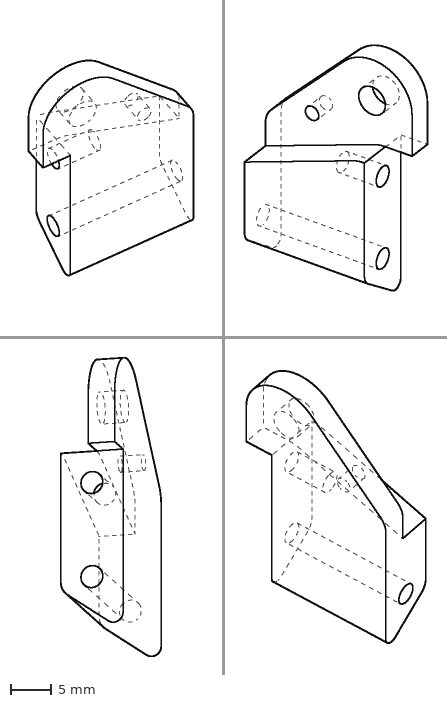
import cadquery as cq
import math

foot_width = 8.0
foot_top_z = 22.0
foot_front_y = 4.0
back_y = 22.0
underside_slope = math.radians(35)
tip_radius = 1.2
heel_radius = 2.0

shoulder_corner_y = 4.92
shoulder_slope = math.radians(20)
shoulder_radius = 5.0

lug_thickness = 3.4
lug_x = foot_width - lug_thickness
head_radius = 6.0
pivot_y = head_radius
pivot_z = 28.0
lug_top_z = pivot_z + head_radius
lug_slope = math.radians(45)
lug_back_radius = 3.0

lug_hole_depth = 3.0
pivot_hole_diameter = 4.0
pin_hole_diameter = 2.0
pin_y = 15.0
pin_z = 23.0

screw_hole_diameter = 2.8
screw_x = foot_width / 2
lower_screw_z = 6.0
upper_screw_z = 18.0
lower_screw_depth = back_y - foot_front_y
upper_screw_depth = 6.0


def fillet_edge_at(body, point, radius):
    """Round the edge whose middle is nearest to the given point."""
    return body.edges(cq.selectors.NearestToPointSelector(point)).fillet(radius)


def make_shoulder_block():
    """Part of the foot beside the lug, with the rounded, sloping top."""
    back_z = foot_top_z - (back_y - shoulder_corner_y) * math.tan(shoulder_slope)
    block = (
        cq.Workplane("YZ")
        .moveTo(foot_front_y, 0)
        .lineTo(foot_front_y, foot_top_z)
        .lineTo(shoulder_corner_y, foot_top_z)
        .lineTo(back_y, back_z)
        .lineTo(back_y, 0)
        .close()
        .extrude(lug_x)
    )
    shoulder_edge = (lug_x / 2, shoulder_corner_y, foot_top_z)
    return fillet_edge_at(block, shoulder_edge, shoulder_radius)


def make_lug_plate():
    """Lug together with the part of the foot directly below it."""
    head_end_y = pivot_y + head_radius * math.sin(lug_slope)
    head_end_z = pivot_z + head_radius * math.cos(lug_slope)
    back_corner_z = head_end_z - (back_y - head_end_y) * math.tan(lug_slope)
    head_mid_angle = (lug_slope - math.pi / 2) / 2
    head_mid = (
        pivot_y + head_radius * math.sin(head_mid_angle),
        pivot_z + head_radius * math.cos(head_mid_angle),
    )
    plate = (
        cq.Workplane("YZ", origin=(lug_x, 0, 0))
        .moveTo(foot_front_y, 0)
        .lineTo(foot_front_y, foot_top_z)
        .lineTo(0, foot_top_z)
        .lineTo(0, pivot_z)
        .threePointArc(head_mid, (head_end_y, head_end_z))
        .lineTo(back_y, back_corner_z)
        .lineTo(back_y, 0)
        .close()
        .extrude(lug_thickness)
    )
    back_corner = (lug_x + lug_thickness / 2, back_y, back_corner_z)
    return fillet_edge_at(plate, back_corner, lug_back_radius)


def make_underside_envelope():
    """Full-height prism along Y carrying the sloped underside and its two rounded corners."""
    tangent_x = foot_width - tip_radius - tip_radius * math.sin(underside_slope)
    tangent_z = tip_radius - tip_radius * math.cos(underside_slope)
    heel_z = tangent_z + tangent_x * math.tan(underside_slope)
    tip_z = heel_z - foot_width * math.tan(underside_slope)
    prism = (
        cq.Workplane("XZ")
        .moveTo(0, heel_z)
        .lineTo(foot_width, tip_z)
        .lineTo(foot_width, lug_top_z)
        .lineTo(0, lug_top_z)
        .close()
        .extrude(-back_y)
    )
    prism = fillet_edge_at(prism, (0, back_y / 2, heel_z), heel_radius)
    return fillet_edge_at(prism, (foot_width, back_y / 2, tip_z), tip_radius)


def make_lug_hole(y, z, diameter):
    """Cylinder entering the lug from its -X face."""
    return cq.Workplane("YZ", origin=(lug_x, y, z)).circle(diameter / 2).extrude(lug_hole_depth)


def make_screw_hole(z, depth):
    """Cylinder entering the foot from its front face."""
    face = cq.Workplane("XZ", origin=(screw_x, foot_front_y, z))
    return face.circle(screw_hole_diameter / 2).extrude(-depth)


body = make_shoulder_block().union(make_lug_plate()).intersect(make_underside_envelope())
body = body.cut(make_lug_hole(pivot_y, pivot_z, pivot_hole_diameter))
body = body.cut(make_lug_hole(pin_y, pin_z, pin_hole_diameter))
body = body.cut(make_screw_hole(lower_screw_z, lower_screw_depth))
result = body.cut(make_screw_hole(upper_screw_z, upper_screw_depth))